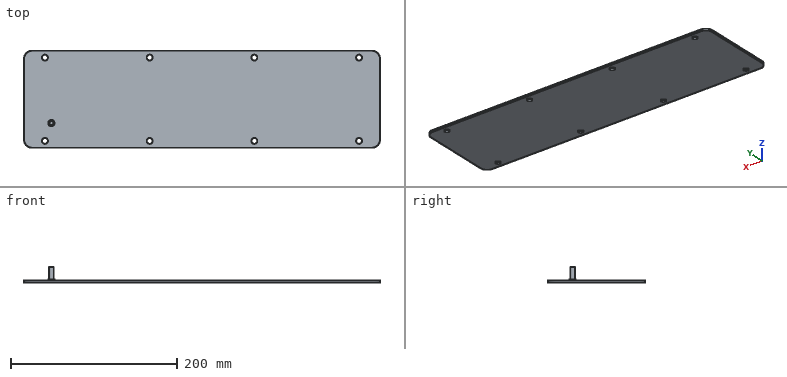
import cadquery as cq

plate_length = 428.0
plate_width = 117.0
plate_thickness = 2.85
corner_radius = 10.0

hole_diameter = 7.0
holes_per_row = 4
hole_pitch = 126.0
row_spacing = 100.0

overall_height = 19.0
stud_x = -181.0
stud_y = -28.5
stud_diameter = 6.0
stud_chamfer = 0.65
flange_diameter = 7.5
flange_height = 1.0


def make_plate():
    """Rounded plate with its underside at Z = 0."""
    plate = cq.Workplane("XY").rect(plate_length, plate_width).extrude(plate_thickness)
    plate = plate.edges("|Z").fillet(corner_radius)
    return (
        plate.faces(">Z").workplane()
        .rarray(hole_pitch, row_spacing, holes_per_row, 2)
        .hole(hole_diameter)
    )


def make_stud():
    """Chamfered stud with a thin base flange; both start at the plate underside."""
    base = cq.Workplane("XY").center(stud_x, stud_y)
    shank = base.circle(stud_diameter / 2).extrude(overall_height)
    shank = shank.faces(">Z").chamfer(stud_chamfer)
    flange = base.circle(flange_diameter / 2).extrude(plate_thickness + flange_height)
    return shank.union(flange)


result = make_plate().union(make_stud())